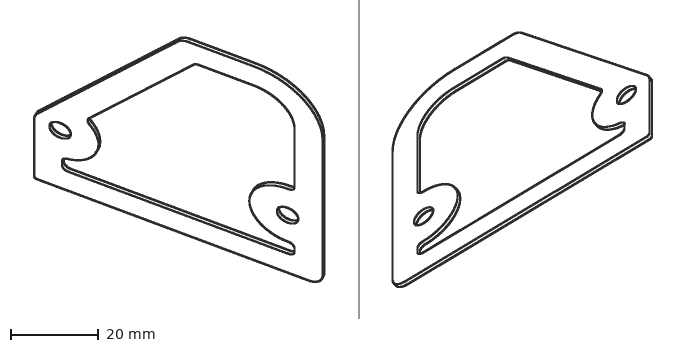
import cadquery as cq
import math

width = 72.7
height = 71.0
thickness = 1.0
border = 7.05

slope_start_z = 23.05
slope_end_x = 37.2

large_radius = 17.4
outer_radius = 3.5
bottom_left_radius = 0.7

hole_radius = 2.7
land_radius = 9.7
hole_z = 21.1
hole_xs = (6.55, 63.9)

window_radius = 1.5


def plate_from(points):
    """Extrude an XZ outline through the plate thickness, from Y = 0 to +Y."""
    return cq.Workplane("XZ").polyline(points).close().extrude(-thickness)


def discs(radius):
    """Discs of plate thickness at both hole positions."""
    centers = [(x, hole_z) for x in hole_xs]
    return cq.Workplane("XZ").pushPoints(centers).circle(radius).extrude(-thickness)


def round_corner(body, x, z, radius):
    """Round the through-thickness edge nearest to (x, z)."""
    nearest = cq.selectors.NearestToPointSelector((x, thickness / 2, z))
    return body.edges("|Y").edges(nearest).fillet(radius)


def make_blank():
    points = [
        (0, 0),
        (width, 0),
        (width, height),
        (slope_end_x, height),
        (0, slope_start_z),
    ]
    radii = [bottom_left_radius, outer_radius, large_radius, outer_radius, outer_radius]
    blank = plate_from(points)
    for (x, z), radius in zip(points, radii):
        blank = round_corner(blank, x, z, radius)
    return blank


def make_window():
    """Opening one border width inside the outline, less the round lands."""
    gradient = (height - slope_start_z) / slope_end_x
    slope_drop = border * math.hypot(1, gradient)
    left = border
    right = width - border
    top = height - border

    def slope_z(x):
        return slope_start_z + gradient * x - slope_drop

    top_left_x = (top - slope_z(0)) / gradient
    window = plate_from([
        (left, border),
        (right, border),
        (right, top),
        (top_left_x, top),
        (left, slope_z(left)),
    ])
    window = round_corner(window, right, top, large_radius - border)
    window = window.cut(discs(land_radius))

    window = cq.Workplane(max(window.solids().vals(), key=lambda solid: solid.Volume()))

    left_land_x, right_land_x = hole_xs
    left_reach = math.sqrt(land_radius**2 - (left - left_land_x) ** 2)
    right_reach = math.sqrt(land_radius**2 - (right - right_land_x) ** 2)

    offset = slope_z(left_land_x) - hole_z
    squared = 1 + gradient**2
    root = math.sqrt(squared * land_radius**2 - offset**2)
    crossing_x = left_land_x + (root - gradient * offset) / squared

    corners = [
        (left, border),
        (right, border),
        (top_left_x, top),
        (left, hole_z - left_reach),
        (right, hole_z - right_reach),
        (right, hole_z + right_reach),
        (crossing_x, slope_z(crossing_x)),
    ]
    for x, z in corners:
        window = round_corner(window, x, z, window_radius)
    return window


result = make_blank().cut(make_window()).cut(discs(hole_radius))